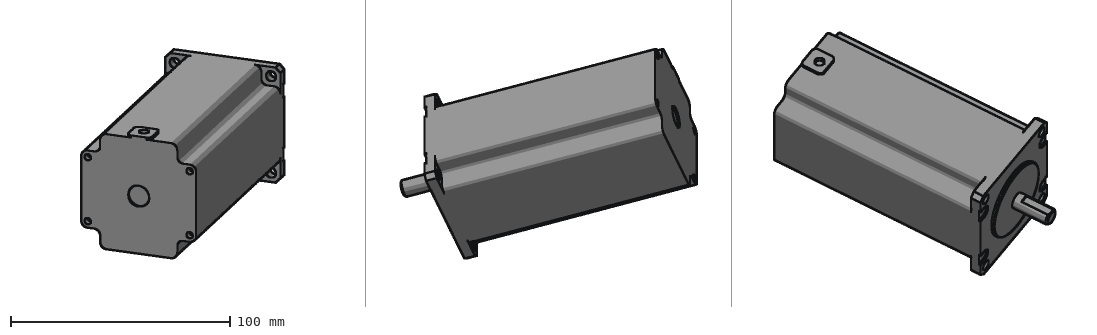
import cadquery as cq
import math

total_length = 132.6
width = 56.4
half = width / 2

flange_thickness = 5.2
flange_chamfer = 2.4
mount_hole_diameter = 4.8
mount_hole_offset = 23.6

pilot_diameter = 38.0
pilot_height = 1.6
pilot_chamfer = 0.4
shaft_diameter = 8.0
shaft_length = 19.0
shaft_chamfer = 0.8
flat_length = 15.0
flat_height = 3.5

notch_depth = 9.3
notch_outer_radius = 3.2
notch_inner_radius = 2.9

screw_x = 24.9
screw_z = 15.6
screw_hole_diameter = 3.0
screw_hole_depth = 4.0
drill_tip_angle = 118.0
slot_width = 6.5
slot_depth = 0.9

recess_diameter = 10.2
recess_depth = 0.9

pad_width = 11.8
pad_length = 11.5
pad_height = 1.0
pad_corner_radius = 2.1
outlet_diameter = 4.6
outlet_depth = 2.0
outlet_y = 6.6

pilot_front = total_length - shaft_length
flange_front = pilot_front - pilot_height
flange_rear = flange_front - flange_thickness


def section_at(y):
    """Workplane across the motor axis that extrudes to +Y, with local axes (-X, Z)."""
    return cq.Workplane(cq.Plane(origin=(0, y, 0), xDir=(-1, 0, 0), normal=(0, 1, 0)))


def mirrored_points(x, z):
    """The point (x, z) repeated in all four quadrants."""
    return [(side_x * x, side_z * z) for side_x in (-1, 1) for side_z in (-1, 1)]


def rod(diameter, start, length):
    return section_at(start).circle(diameter / 2).extrude(length)


def make_body():
    """Square bar whose four long edges are cut back by rounded notches."""
    inner = half - notch_depth
    wide_bar = section_at(0).rect(width, 2 * inner).extrude(flange_rear)
    tall_bar = section_at(0).rect(2 * inner, width).extrude(flange_rear)
    wide_bar = wide_bar.edges("|Y").fillet(notch_outer_radius)
    tall_bar = tall_bar.edges("|Y").fillet(notch_outer_radius)
    body = wide_bar.union(tall_bar)
    reach = inner + notch_inner_radius
    around_notches = cq.selectors.BoxSelector((-reach, 0, -reach), (reach, flange_rear, reach))
    return body.edges("|Y").edges(around_notches).fillet(notch_inner_radius)


def make_flange():
    """Square plate with chamfered corners and four mounting holes."""
    plate = section_at(flange_rear).rect(width, width).extrude(flange_thickness)
    plate = plate.edges("|Y").chamfer(flange_chamfer)
    centres = mirrored_points(mount_hole_offset, mount_hole_offset)
    holes = section_at(flange_rear).pushPoints(centres).circle(mount_hole_diameter / 2)
    return plate.cut(holes.extrude(flange_thickness))


def make_slots():
    """Round-ended slots in the flange front, open to the +X and -X sides."""
    floor = flange_front - slot_depth
    end_centres = mirrored_points(screw_x, screw_z)
    channel_centres = mirrored_points(screw_x + slot_width / 2, screw_z)
    round_ends = section_at(floor).pushPoints(end_centres).circle(slot_width / 2).extrude(slot_depth)
    channels = section_at(floor).pushPoints(channel_centres).rect(slot_width, slot_width).extrude(slot_depth)
    return round_ends.union(channels)


def make_pilot():
    pilot = rod(pilot_diameter, flange_front, pilot_height)
    return pilot.faces(">Y").chamfer(pilot_chamfer)


def make_shaft():
    """Round shaft with a chamfered tip and a flat on its +Z side."""
    shaft = rod(shaft_diameter, pilot_front, shaft_length).faces(">Y").chamfer(shaft_chamfer)
    flat = cq.Workplane("XY").box(shaft_diameter, flat_length, shaft_diameter, centered=(True, False, False))
    return shaft.cut(flat.translate((0, total_length - flat_length, flat_height)))


def make_pad():
    """Rounded pad on the top face, flush with the rear face."""
    pad = cq.Workplane("XY").box(pad_width, pad_length, pad_height, centered=(True, False, False))
    return pad.edges("|Z").fillet(pad_corner_radius).translate((0, 0, half))


def make_outlet():
    """Blind hole straight down into the pad."""
    top = cq.Workplane("XY", origin=(0, outlet_y, half + pad_height))
    return top.circle(outlet_diameter / 2).extrude(-outlet_depth)


def make_screw_holes():
    """Blind holes with drilled, conical ends in the rear face."""
    radius = screw_hole_diameter / 2
    tip_depth = radius / math.tan(math.radians(drill_tip_angle / 2))
    profile = [(0, 0), (radius, 0), (radius, screw_hole_depth), (0, screw_hole_depth + tip_depth)]
    drill = cq.Workplane("XY").polyline(profile).close().revolve(360, (0, 0, 0), (0, 1, 0))
    holes = cq.Workplane("XY")
    for x, z in mirrored_points(screw_x, screw_z):
        holes = holes.union(drill.translate((x, 0, z)))
    return holes


result = make_body().union(make_flange()).union(make_pilot()).union(make_shaft()).union(make_pad())
result = result.cut(make_slots()).cut(make_outlet()).cut(make_screw_holes())
result = result.cut(rod(recess_diameter, 0, recess_depth))